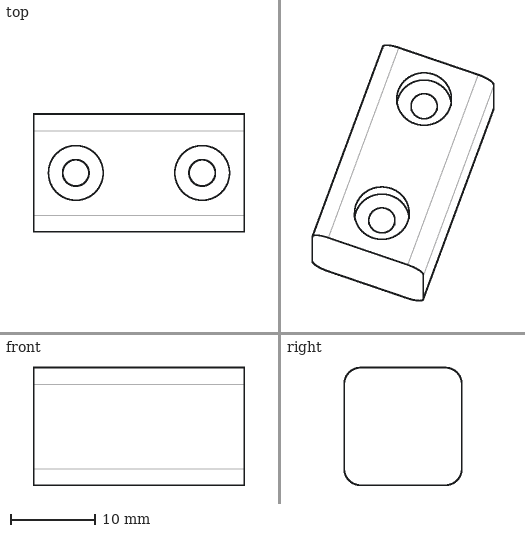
import cadquery as cq

length = 25.0
side = 14.0
edge_radius = 2.0

hole_spacing = 15.0
hole_diameter = 3.1
counterbore_diameter = 6.5
counterbore_depth = 3.0

bar = cq.Workplane("XY").box(length, side, side).edges("|X").fillet(edge_radius)

result = (
    bar.faces(">Z")
    .workplane(origin=(0, 0, side / 2))
    .pushPoints([(-hole_spacing / 2, 0), (hole_spacing / 2, 0)])
    .cboreHole(hole_diameter, counterbore_diameter, counterbore_depth)
)